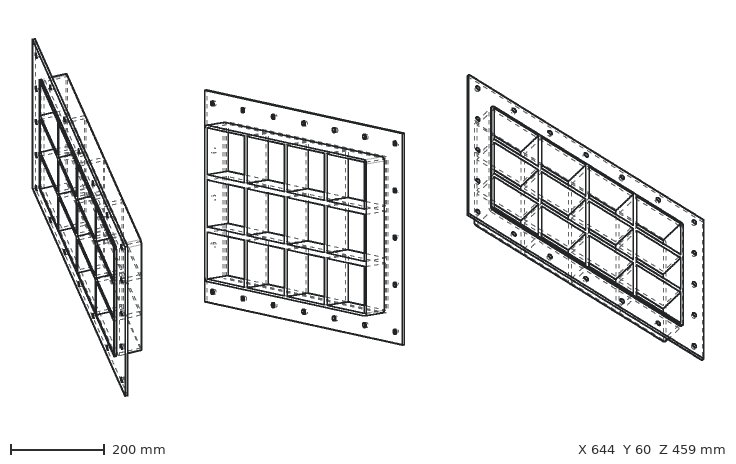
import cadquery as cq

flange_length = 644.0
flange_height = 459.0
flange_thickness = 6.0

frame_length = 525.5
frame_height = 339.5
frame_depth = 60.0
frame_front_lip = 4.0
frame_corner_radius = 8.0

opening_columns = 4
opening_rows = 3
opening_length = 121.0
opening_height = 102.0
column_pitch = 130.0
row_pitch = 113.5

hole_diameter = 10.0
hole_columns = 7
hole_rows = 5
hole_span_x = 594.0
hole_span_z = 409.0


def prism(sketch, front, depth):
    """Extrude an XZ outline from the plane y = front toward +Y."""
    return sketch.extrude(-depth).translate((0, front, 0))


def border_points(span_x, span_z, columns, rows):
    """Evenly spaced points on the border of a centred rectangle."""
    points = []
    for column in range(columns):
        for row in range(rows):
            if column in (0, columns - 1) or row in (0, rows - 1):
                x = span_x * (column / (columns - 1) - 0.5)
                z = span_z * (row / (rows - 1) - 0.5)
                points.append((x, z))
    return points


flange = prism(
    cq.Workplane("XZ").rect(flange_length, flange_height), frame_front_lip, flange_thickness
)
frame = prism(cq.Workplane("XZ").rect(frame_length, frame_height), 0, frame_depth)
frame = frame.edges("|Y").fillet(frame_corner_radius)

openings = prism(
    cq.Workplane("XZ")
    .rarray(column_pitch, row_pitch, opening_columns, opening_rows)
    .rect(opening_length, opening_height),
    0,
    frame_depth,
)

bolt_holes = prism(
    cq.Workplane("XZ")
    .pushPoints(border_points(hole_span_x, hole_span_z, hole_columns, hole_rows))
    .circle(hole_diameter / 2),
    frame_front_lip,
    flange_thickness,
)

result = flange.union(frame).cut(openings).cut(bolt_holes)